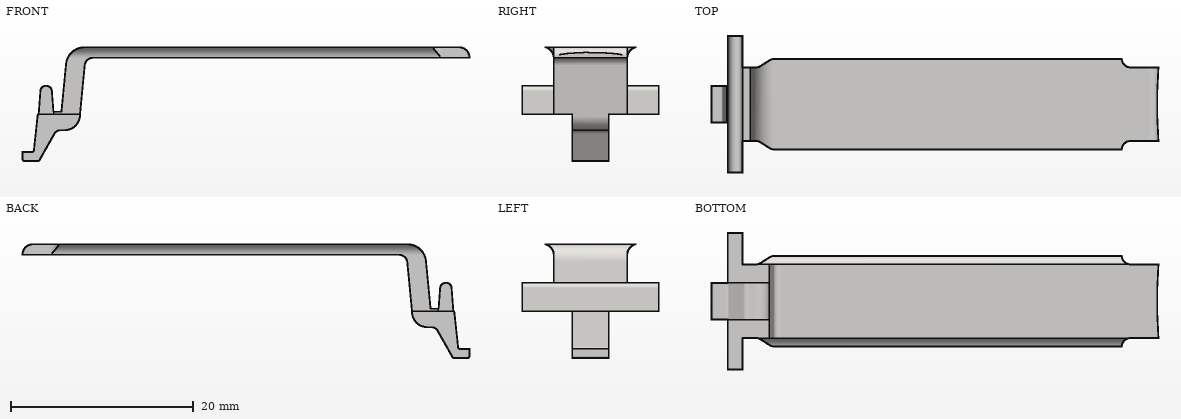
import cadquery as cq
import math

length = 49.0
height = 12.5
plate_thickness = 1.2
underside = height - plate_thickness

bar_width = 15.0
plate_width = 9.95
neck_width = 8.1
foot_width = 4.0

step_height = 5.15
floor_height = 5.45
web_overlap = 0.25
arm_front = 4.25
arm_back = 6.3
arm_slope = math.tan(math.radians(5.5))
outer_bend_radius = 2.05
inner_bend_radius = 0.9

bar_front = 1.75
bar_back = 3.45
bar_top = 8.3
bar_top_front = 1.95
bar_top_back = 3.25
crown_rise = 0.55

toe_height = 1.05
toe_corner = 1.22
toe_tip_round = 0.25
foot_front = 1.65
heel = 1.8
heel_radius = 0.3
toe_fillet = 0.2
ledge_height = 3.4
ledge_start = 3.7
ledge_fillet = 0.75
belly_radius = 1.7

shoulder_end = 45.0
tip_round = 1.15
end_hollow = 0.15


def side_profile(points, width):
    """Extrude an XZ outline symmetrically about Y = 0."""
    return cq.Workplane("XZ").polyline(points).close().extrude(width / 2, both=True)


def round_edge(body, x, z, radius):
    """Round the edge parallel to Y that passes through (x, z)."""
    edge = cq.selectors.NearestToPointSelector((x, 0, z))
    return body.edges("|Y").edges(edge).fillet(radius)


def make_arm_and_plate():
    front_top = arm_front + (height - floor_height) * arm_slope
    front_bottom = arm_front - (floor_height - step_height) * arm_slope
    back_top = arm_back + (underside - step_height) * arm_slope
    outline = [
        (front_bottom, step_height),
        (arm_back, step_height),
        (back_top, underside),
        (length, underside),
        (length, height),
        (front_top, height),
    ]
    body = side_profile(outline, plate_width)
    body = round_edge(body, front_top, height, outer_bend_radius)
    body = round_edge(body, back_top, underside, inner_bend_radius)
    body = round_edge(body, length, height, tip_round)
    return body.intersect(make_flared_envelope()).intersect(make_plan_envelope())


def make_flared_envelope():
    """Neck-wide section whose sides curve outwards through the plate thickness."""
    neck = neck_width / 2
    edge = plate_width / 2
    flare = edge - neck
    radius = (flare**2 + plate_thickness**2) / (2 * flare)
    half_angle = math.asin(plate_thickness / radius) / 2
    mid_y = neck + radius * (1 - math.cos(half_angle))
    mid_z = underside + radius * math.sin(half_angle)
    return (
        cq.Workplane("YZ")
        .moveTo(-neck, 0)
        .lineTo(neck, 0)
        .lineTo(neck, underside)
        .threePointArc((mid_y, mid_z), (edge, height))
        .lineTo(-edge, height)
        .threePointArc((-mid_y, mid_z), (-neck, underside))
        .close()
        .extrude(length)
    )


def make_plan_envelope():
    """Plate outline with concave shoulders and a slightly hollow free end."""
    neck = neck_width / 2
    edge = plate_width / 2
    shoulder = edge - neck
    return (
        cq.Workplane("XY")
        .moveTo(0, -edge)
        .lineTo(shoulder_end, -edge)
        .radiusArc((shoulder_end + shoulder, -neck), shoulder)
        .lineTo(length, -neck)
        .threePointArc((length - end_hollow, 0), (length, neck))
        .lineTo(shoulder_end + shoulder, neck)
        .radiusArc((shoulder_end, edge), shoulder)
        .lineTo(0, edge)
        .close()
        .extrude(height)
    )


def make_crossbar():
    """Tapered bar with a fully rounded top."""
    crown = ((bar_top_front + bar_top_back) / 2, bar_top)
    shoulder_height = bar_top - crown_rise
    return (
        cq.Workplane("XZ")
        .moveTo(bar_front, step_height)
        .lineTo(bar_back, step_height)
        .lineTo(bar_top_back, shoulder_height)
        .threePointArc(crown, (bar_top_front, shoulder_height))
        .close()
        .extrude(bar_width / 2, both=True)
    )


def make_floor():
    """Thin web joining the crossbar to the arm, running into both of them."""
    outline = [
        (bar_top_back, step_height),
        (arm_front + web_overlap, step_height),
        (arm_front + web_overlap, floor_height),
        (bar_top_back, floor_height),
    ]
    return side_profile(outline, neck_width)


def make_foot():
    outline = [
        (0, 0),
        (heel, 0),
        (ledge_start, ledge_height),
        (arm_back, ledge_height),
        (arm_back, step_height),
        (foot_front, step_height),
        (toe_corner, toe_height),
        (0, toe_height),
    ]
    foot = side_profile(outline, foot_width)
    foot = round_edge(foot, 0, 0, toe_tip_round)
    foot = round_edge(foot, heel, 0, heel_radius)
    foot = round_edge(foot, toe_corner, toe_height, toe_fillet)
    foot = round_edge(foot, ledge_start, ledge_height, ledge_fillet)
    return round_edge(foot, arm_back, ledge_height, belly_radius)


result = make_arm_and_plate().union(make_crossbar()).union(make_floor()).union(make_foot())